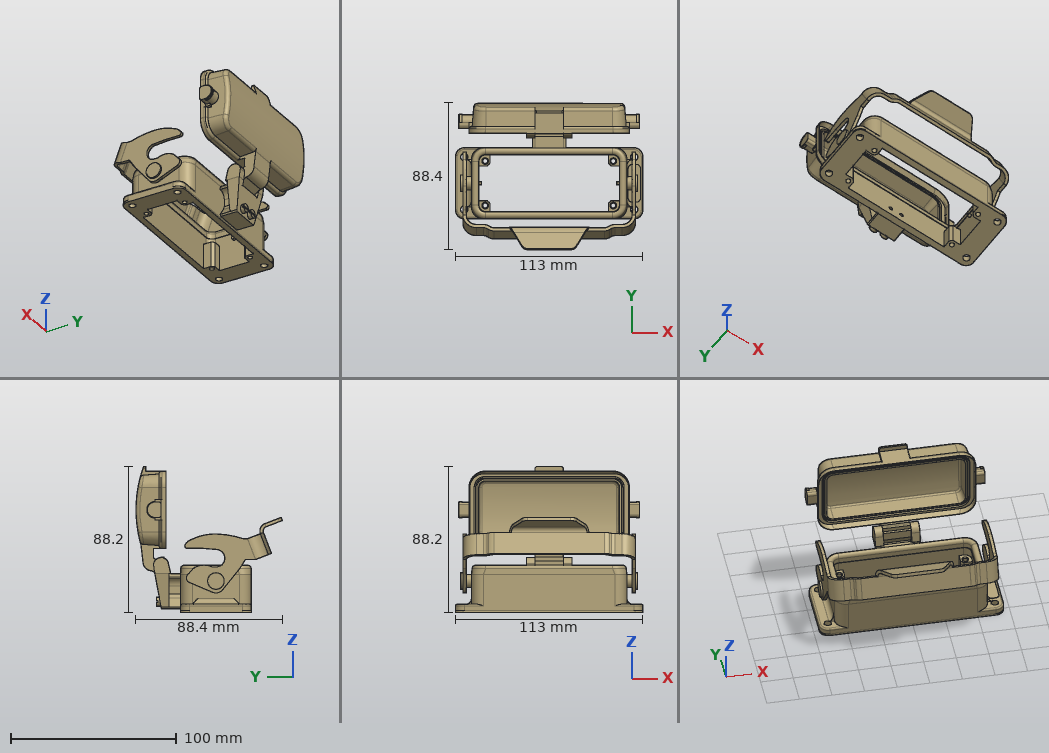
import cadquery as cq
import math

FLANGE_LENGTH = 113.0
FLANGE_FOOT_WIDTH = 43.0
FLANGE_FOOT_HEIGHT = 1.2
HOUSING_WIDTH = 42.8
FLANGE_THICKNESS = 5.1
FLANGE_CORNER_RADIUS = 5.5
FLANGE_EDGE_RADIUS = 1.0
HOUSING_LENGTH = 93.8
HOUSING_HEIGHT = 28.6
HOUSING_CORNER_RADIUS = 7.25
RIM_START_Z = 23.0
RIM_LENGTH = 93.0
RIM_WIDTH = 42.6
RIM_CORNER_RADIUS = 8.25
RIM_WALL = 4.2
CAVITY_LENGTH = RIM_LENGTH - 2 * RIM_WALL
CAVITY_WIDTH = RIM_WIDTH - 2 * RIM_WALL
CAVITY_CORNER_RADIUS = RIM_CORNER_RADIUS - RIM_WALL
CAVITY_RELIEF = 0.3
MOUNT_HOLE_DIAMETER = 4.3
MOUNT_HOLE_X = 51.2
MOUNT_HOLE_Y = 15.8

POST_TOP_Z = 17.0
POST_INNER_X = 35.6
POST_INNER_Y = 10.4
POST_CHAMFER = 1.7
POST_HOLE_X = 38.6
POST_HOLE_Y = 13.4
POST_HOLE_DIAMETER = 2.9
POST_COUNTERSINK_DIAMETER = 4.0
POST_COUNTERSINK_ANGLE = 90

RAMP_RADIUS = 3.4
RAMP_HALF_WIDTH = 14.3
LABEL_INNER_X = 47.6
LABEL_OUTER_X = 55.0
LABEL_WIDTH = 22.8
LABEL_DEPTH = 0.3
LABEL_CORNER_RADIUS = 2.5

PIVOT_Z = 19.07
PIVOT_SHAFT_DIAMETER = 8.0
PIVOT_HEAD_DIAMETER = 10.0
PIVOT_HEAD_X = 53.3
PIVOT_TAIL_DIAMETER = 2.0
PIVOT_TAIL_X = 40.7
LEVER_TILT = 21.0
LEVER_HALF_LENGTH = 52.05
LEVER_THICKNESS = 2.1
SLOT_RADIUS = 5.25
SLOT_Z = 32.8
BOW_START = 26.9
BOW_CORNER_RADIUS = 8.25
BOW_LOW = 3.5
BOW_HIGH = 17.05
JOG_START_X = 39.65
JOG_ANGLE = 31.0
JOG_INNER_RADIUS = 4.0
JOG_OUTER_RADIUS = 6.0
JOG_FLAT = 1.3
TAB_REACH = 50.5
TAB_TOP = 21.75
TAB_BEND_RADIUS = 4.8
TAB_ROOT_HALF_WIDTH = 24.0
TAB_BEND_HALF_WIDTH = 21.3
TAB_TIP_HALF_WIDTH = 15.3
TAB_CORNER_RADIUS = 4.0

COVER_MOUTH_Y = 30.05
COVER_Z = 62.0
COVER_LENGTH = 96.8
COVER_HEIGHT = 46.7
COVER_CORNER_RADIUS = 10.0
COVER_RIM_THICKNESS = 4.3
COVER_RIM_EDGE_RADIUS = 1.75
COVER_RIM_STEP_X = 2.0
COVER_RIM_STEP_Z = 1.8
COVER_TAPER = 4.0
COVER_BACK_Y = 48.26
COVER_BACK_RADIUS = 75.0
COVER_BACK_EDGE_RADIUS = 2.6
COVER_BACK_THICKNESS = 3.0
COVER_MOUTH_LAND = 0.3
SEAT_INSET_X = 0.6
SEAT_INSET_Z = 1.7
SEAT_DEPTH = 3.2
GROOVE_OUTER_INSET = 3.2
GROOVE_INNER_INSET = 4.75
GROOVE_STEP_INSET = 4.05
GROOVE_DEPTH = 1.5
GROOVE_STEP_DEPTH = 0.7
POCKET_INSET = 5.7
POCKET_TAPER = 4.0
POCKET_FLOOR_RADIUS = 1.2
COVER_PAD_HALF_WIDTH = 8.6
COVER_TAB_TOP_Z = 88.15
COVER_TAB_FRONT_Y = 42.3
COVER_TAB_CHAMFER = 1.0

COVER_PIN_Y = 36.7
COVER_PIN_RADIUS = 4.65
COVER_PIN_FRONT_Y = 33.0
COVER_PIN_CORNER_RADIUS = 1.6
COVER_PIN_END_X = 54.5
PIN_LIP_RADIUS = 5.0
PIN_LIP_LENGTH = 1.5
PIN_LIP_SETBACK = 0.4
PIN_BOSS_HALF_HEIGHT = 6.2

HINGE_Y = 33.1
HINGE_Z = 28.8
HINGE_RADIUS = 4.5
HINGE_PIN_DIAMETER = 4.0
BRACKET_HALF_WIDTH = 13.8
BRACKET_SHOULDER_Z = 23.5
BRACKET_BASE_Z = 2.3
KNUCKLE_SLOT_Z = 20.0
BRACKET_FRONT_Y = 28.2
BRACKET_BASE_BACK_Y = 32.9
BRACKET_SHOULDER_BACK_Y = 36.9
NECK_HALF_WIDTH = 10.2
BRACKET_BASE_HALF_WIDTH = 9.6
BRACKET_FOOT_Z = 3.4
SCREW_X = 4.0
SCREW_Z = 6.6
SCREW_HEAD_DIAMETER = 5.5
SCREW_HEAD_BACK_Y = 35.9
SCREW_SLOT_WIDTH = 0.9
SCREW_SLOT_DEPTH = 0.9
SCREW_HOLE_DIAMETER = 2.5

SIDES = (-1, 1)


def rounded_block(length, width, height, radius, base_z=0.0, taper=0.0):
    block = cq.Workplane("XY").workplane(offset=base_z).sketch().rect(length, width)
    return block.vertices().fillet(radius).finalize().extrude(height, taper=taper)


def y_cylinder(x, z, diameter, start_y, end_y):
    disc = cq.Workplane("XZ", origin=(x, start_y, z)).circle(diameter / 2)
    return disc.extrude(start_y - end_y)


def x_cylinder(y, z, diameter, start_x, end_x):
    disc = cq.Workplane("YZ", origin=(start_x, y, z)).circle(diameter / 2)
    return disc.extrude(end_x - start_x)


def x_prism(profile, start_x, end_x):
    """Extrude a closed YZ profile between two X positions."""
    return profile.extrude(end_x - start_x).translate((start_x, 0, 0))


def make_shell():
    flange = rounded_block(FLANGE_LENGTH, HOUSING_WIDTH, FLANGE_THICKNESS, FLANGE_CORNER_RADIUS)
    flange = flange.edges(">Z").fillet(FLANGE_EDGE_RADIUS)
    body = rounded_block(HOUSING_LENGTH, HOUSING_WIDTH, RIM_START_Z, HOUSING_CORNER_RADIUS)
    relief = rounded_block(
        CAVITY_LENGTH + 2 * CAVITY_RELIEF,
        CAVITY_WIDTH + 2 * CAVITY_RELIEF,
        RIM_START_Z,
        CAVITY_CORNER_RADIUS + CAVITY_RELIEF,
    )
    return flange.union(make_foot()).union(body).union(make_ramps()).cut(relief).union(make_rim())


def make_foot():
    """Bottom layer of the flange, whose long sides lean in to meet the rest of the flange."""
    layer = rounded_block(FLANGE_LENGTH, FLANGE_FOOT_WIDTH, FLANGE_FOOT_HEIGHT, FLANGE_CORNER_RADIUS)
    leaning = (
        cq.Workplane("YZ")
        .moveTo(-FLANGE_FOOT_WIDTH / 2, 0)
        .lineTo(FLANGE_FOOT_WIDTH / 2, 0)
        .lineTo(HOUSING_WIDTH / 2, FLANGE_FOOT_HEIGHT)
        .lineTo(-HOUSING_WIDTH / 2, FLANGE_FOOT_HEIGHT)
        .close()
        .extrude(FLANGE_LENGTH / 2, both=True)
    )
    return layer.intersect(leaning)


def make_rim():
    """Upper wall, drawn in slightly towards a fully rounded top edge."""
    bead_radius = RIM_WALL / 2
    bead_z = HOUSING_HEIGHT - bead_radius
    lower = cq.Sketch().rect(HOUSING_LENGTH, HOUSING_WIDTH).vertices().fillet(HOUSING_CORNER_RADIUS)
    upper = cq.Sketch().rect(RIM_LENGTH, RIM_WIDTH).vertices().fillet(RIM_CORNER_RADIUS)
    raised = upper.moved(cq.Location(cq.Vector(0, 0, bead_z - RIM_START_Z)))
    wall = cq.Workplane("XY").workplane(offset=RIM_START_Z).placeSketch(lower, raised).loft()
    opening = rounded_block(CAVITY_LENGTH, CAVITY_WIDTH, HOUSING_HEIGHT, CAVITY_CORNER_RADIUS)
    centre_line = rounded_block(
        RIM_LENGTH - RIM_WALL, RIM_WIDTH - RIM_WALL, 1, RIM_CORNER_RADIUS - bead_radius, bead_z
    )
    path = cq.Workplane(centre_line.faces("<Z").val().outerWire())
    section = cq.Workplane("YZ", origin=(0, (RIM_WALL - RIM_WIDTH) / 2, bead_z)).circle(bead_radius)
    return wall.cut(opening).union(section.sweep(path))


def make_ramps():
    wall_x = HOUSING_LENGTH / 2
    toe_x = wall_x + RAMP_RADIUS
    top_z = FLANGE_THICKNESS + RAMP_RADIUS
    bend = RAMP_RADIUS * (1 - math.sqrt(0.5))
    ramp = (
        cq.Workplane("XZ")
        .moveTo(wall_x, FLANGE_THICKNESS)
        .lineTo(toe_x, FLANGE_THICKNESS)
        .threePointArc((wall_x + bend, FLANGE_THICKNESS + bend), (wall_x, top_z))
        .close()
        .extrude(RAMP_HALF_WIDTH, both=True)
    )
    end_trim = (
        cq.Workplane("YZ", origin=(wall_x, 0, 0))
        .moveTo(-RAMP_HALF_WIDTH, FLANGE_THICKNESS)
        .lineTo(RAMP_HALF_WIDTH, FLANGE_THICKNESS)
        .lineTo(RAMP_HALF_WIDTH - RAMP_RADIUS, top_z)
        .lineTo(RAMP_RADIUS - RAMP_HALF_WIDTH, top_z)
        .close()
        .extrude(RAMP_RADIUS)
    )
    ramp = ramp.intersect(end_trim)
    return ramp.union(ramp.mirror("YZ"))


def make_posts():
    posts = cq.Workplane("XY")
    for side_x in SIDES:
        for side_y in SIDES:
            size_x = (CAVITY_LENGTH / 2 - POST_INNER_X) + CAVITY_RELIEF
            size_y = (CAVITY_WIDTH / 2 - POST_INNER_Y) + CAVITY_RELIEF
            post = (
                cq.Workplane("XY")
                .box(size_x, size_y, POST_TOP_Z, centered=False)
                .edges("|Z and <X and <Y")
                .chamfer(POST_CHAMFER)
                .translate((POST_INNER_X, POST_INNER_Y, 0))
                .faces(">Z")
                .workplane(origin=(POST_HOLE_X, POST_HOLE_Y, 0))
                .cskHole(POST_HOLE_DIAMETER, POST_COUNTERSINK_DIAMETER, POST_COUNTERSINK_ANGLE)
            )
            if side_x < 0:
                post = post.mirror("YZ")
            if side_y < 0:
                post = post.mirror("XZ")
            posts = posts.add(post)
    return posts.combine()


def make_housing():
    corners = [(sx * MOUNT_HOLE_X, sy * MOUNT_HOLE_Y) for sx in SIDES for sy in SIDES]
    mount_holes = cq.Workplane("XY").pushPoints(corners).circle(MOUNT_HOLE_DIAMETER / 2)
    mount_holes = mount_holes.extrude(FLANGE_THICKNESS)
    label = rounded_block(
        LABEL_OUTER_X - LABEL_INNER_X,
        LABEL_WIDTH,
        RAMP_RADIUS + LABEL_DEPTH,
        LABEL_CORNER_RADIUS,
        FLANGE_THICKNESS - LABEL_DEPTH,
    ).translate(((LABEL_INNER_X + LABEL_OUTER_X) / 2, 0, 0))
    housing = make_shell().cut(mount_holes).cut(label).union(make_posts())
    for side in SIDES:
        screw_hole = y_cylinder(
            side * SCREW_X, SCREW_Z, SCREW_HOLE_DIAMETER, CAVITY_WIDTH / 2, HOUSING_WIDTH / 2
        )
        housing = housing.cut(screw_hole)
    return housing


TILT_SIN = math.sin(math.radians(LEVER_TILT))
TILT_COS = math.cos(math.radians(LEVER_TILT))
LEVER_OUT = (0, -TILT_COS, TILT_SIN)
LEVER_WIDE = (0, TILT_SIN, TILT_COS)


def lever_point(out, wide):
    """Global (Y, Z) of a point given along the lever's outward and width directions."""
    return (-TILT_COS * out + TILT_SIN * wide, PIVOT_Z + TILT_SIN * out + TILT_COS * wide)


def lever_plane(wide):
    """Plane across the lever's width: local x is X, local y points outward, normal points down."""
    y, z = lever_point(0, wide)
    return cq.Plane((0, y, z), (1, 0, 0), tuple(-part for part in LEVER_WIDE))


JOG_SIN = math.sin(math.radians(JOG_ANGLE))
JOG_COS = math.cos(math.radians(JOG_ANGLE))
JOG_RUN = (JOG_INNER_RADIUS + JOG_OUTER_RADIUS) * JOG_SIN + JOG_FLAT * JOG_COS
JOG_RISE = (JOG_INNER_RADIUS + JOG_OUTER_RADIUS) * (1 - JOG_COS) + JOG_FLAT * JOG_SIN
BOW_SHOULDER = BOW_START + BOW_CORNER_RADIUS
BOW_FRONT = BOW_SHOULDER + JOG_RISE


def filled_bow(inset):
    """Area enclosed by the bow's outer surface moved inwards by inset, extruded over its width."""

    def arc_point(centre, radius, degrees):
        angle = math.radians(degrees)
        return (centre[0] + radius * math.cos(angle), centre[1] + radius * math.sin(angle))

    corner = (LEVER_HALF_LENGTH - BOW_CORNER_RADIUS, BOW_START)
    corner_radius = BOW_CORNER_RADIUS - inset
    first = (JOG_START_X, BOW_SHOULDER + JOG_INNER_RADIUS)
    first_radius = JOG_INNER_RADIUS + inset
    second = (JOG_START_X - JOG_RUN, BOW_FRONT - JOG_OUTER_RADIUS)
    second_radius = JOG_OUTER_RADIUS - inset
    half = (
        cq.Workplane(lever_plane(BOW_HIGH))
        .moveTo(0, BOW_START)
        .lineTo(LEVER_HALF_LENGTH - inset, BOW_START)
        .threePointArc(arc_point(corner, corner_radius, 45), arc_point(corner, corner_radius, 90))
        .lineTo(JOG_START_X, BOW_SHOULDER - inset)
        .threePointArc(
            arc_point(first, first_radius, 270 - JOG_ANGLE / 2),
            arc_point(first, first_radius, 270 - JOG_ANGLE),
        )
        .lineTo(*arc_point(second, second_radius, 90 - JOG_ANGLE))
        .threePointArc(
            arc_point(second, second_radius, 90 - JOG_ANGLE / 2), arc_point(second, second_radius, 90)
        )
        .lineTo(0, BOW_FRONT - inset)
        .close()
        .extrude(BOW_HIGH - BOW_LOW)
    )
    return half.union(half.mirror("YZ"))


def make_tab():
    """Thumb tab: rises from the bow, bends outward and narrows towards its tip."""
    y, z = lever_point(0, 0)
    back = BOW_FRONT - LEVER_THICKNESS
    inner_radius = TAB_BEND_RADIUS - LEVER_THICKNESS
    bend_out = back + TAB_BEND_RADIUS
    bend_wide = TAB_TOP - TAB_BEND_RADIUS
    diagonal = math.sqrt(0.5)
    strip = (
        cq.Workplane(cq.Plane((0, y, z), LEVER_OUT, (-1, 0, 0)))
        .moveTo(back, BOW_HIGH - LEVER_THICKNESS)
        .lineTo(back, bend_wide)
        .threePointArc(
            (bend_out - TAB_BEND_RADIUS * diagonal, bend_wide + TAB_BEND_RADIUS * diagonal),
            (bend_out, TAB_TOP),
        )
        .lineTo(TAB_REACH, TAB_TOP)
        .lineTo(TAB_REACH, TAB_TOP - LEVER_THICKNESS)
        .lineTo(bend_out, TAB_TOP - LEVER_THICKNESS)
        .threePointArc(
            (bend_out - inner_radius * diagonal, bend_wide + inner_radius * diagonal), (BOW_FRONT, bend_wide)
        )
        .lineTo(BOW_FRONT, BOW_HIGH - LEVER_THICKNESS)
        .close()
        .extrude(TAB_ROOT_HALF_WIDTH, both=True)
    )
    outline = (
        cq.Workplane(lever_plane(TAB_TOP))
        .moveTo(-TAB_ROOT_HALF_WIDTH, back)
        .lineTo(TAB_ROOT_HALF_WIDTH, back)
        .lineTo(TAB_BEND_HALF_WIDTH, bend_out)
        .lineTo(TAB_TIP_HALF_WIDTH, TAB_REACH)
        .lineTo(-TAB_TIP_HALF_WIDTH, TAB_REACH)
        .lineTo(-TAB_BEND_HALF_WIDTH, bend_out)
        .close()
        .extrude(TAB_TOP)
    )
    tip_y, tip_z = lever_point(TAB_REACH, TAB_TOP / 2)
    for side in SIDES:
        tip_edge = cq.selectors.NearestToPointSelector((side * TAB_TIP_HALF_WIDTH, tip_y, tip_z))
        outline = outline.edges(tip_edge).fillet(TAB_CORNER_RADIUS)
    return strip.intersect(outline)


def make_side_plate():
    profile = (
        cq.Workplane("YZ")
        .moveTo(*lever_point(BOW_START, BOW_LOW))
        .lineTo(*lever_point(BOW_START, BOW_HIGH))
        .lineTo(-16.2, 44.7)
        .threePointArc((-8.0, 46.7), (-1.5, 47.4))
        .threePointArc((7.6, 46.7), (14.2, 44.4))
        .threePointArc((17.1, 42.8), (18.7, 40.9))
        .threePointArc((18.6, 39.5), (17.6, 38.7))
        .lineTo(8.0, 38.7)
        .lineTo(0, SLOT_Z + SLOT_RADIUS)
        .threePointArc((-SLOT_RADIUS, SLOT_Z), (0, SLOT_Z - SLOT_RADIUS))
        .lineTo(2.3, SLOT_Z - SLOT_RADIUS)
        .threePointArc((9.0, 28.6), (13.8, 26.5))
        .lineTo(17.0, 23.0)
        .threePointArc((17.8, 20.6), (16.0, 18.2))
        .lineTo(2.6, 12.5)
        .threePointArc((-0.2, 11.9), (-3.4, 13.1))
        .lineTo(-14.3, 26.5)
        .lineTo(-17.8, lever_point(BOW_START, BOW_LOW)[1])
        .close()
    )
    return x_prism(profile, LEVER_HALF_LENGTH - LEVER_THICKNESS, LEVER_HALF_LENGTH)


def make_pivot():
    wall_x = CAVITY_LENGTH / 2 + CAVITY_RELIEF
    shaft = x_cylinder(0, PIVOT_Z, PIVOT_SHAFT_DIAMETER, wall_x, LEVER_HALF_LENGTH)
    head = x_cylinder(0, PIVOT_Z, PIVOT_HEAD_DIAMETER, LEVER_HALF_LENGTH, PIVOT_HEAD_X)
    tail = x_cylinder(0, PIVOT_Z, PIVOT_TAIL_DIAMETER, PIVOT_TAIL_X, wall_x)
    return shaft.union(head).union(tail)


def make_lever():
    side = make_side_plate().union(make_pivot())
    bow = filled_bow(0).cut(filled_bow(LEVER_THICKNESS))
    return bow.union(make_tab()).union(side).union(side.mirror("YZ"))


def cover_block(length, height, radius, start_y, end_y, taper=0.0):
    """Rounded rectangle facing Y, centred on the cover and extruded towards +Y."""
    plane = cq.Plane((0, start_y, COVER_Z), (-1, 0, 0), (0, 1, 0))
    face = cq.Workplane(plane).sketch().rect(length, height).vertices().fillet(radius).finalize()
    return face.extrude(end_y - start_y, taper=taper)


def cover_inset(inset, start_y, end_y, taper=0.0):
    return cover_block(
        COVER_LENGTH - 2 * inset,
        COVER_HEIGHT - 2 * inset,
        COVER_CORNER_RADIUS - inset,
        start_y,
        end_y,
        taper,
    )


def back_cylinder(radius):
    axis_y = COVER_BACK_Y - COVER_BACK_RADIUS
    return x_cylinder(axis_y, COVER_Z, 2 * radius, -COVER_LENGTH, COVER_LENGTH)


def make_cover_body():
    rim_back_y = COVER_MOUTH_Y + COVER_RIM_THICKNESS
    rim = cover_inset(0, COVER_MOUTH_Y, rim_back_y)
    rim = rim.faces(">Y").edges().fillet(COVER_RIM_EDGE_RADIUS)
    body = cover_block(
        COVER_LENGTH - 2 * COVER_RIM_STEP_X,
        COVER_HEIGHT - 2 * COVER_RIM_STEP_Z,
        COVER_CORNER_RADIUS - COVER_RIM_STEP_Z,
        rim_back_y,
        COVER_BACK_Y + 1,
        COVER_TAPER,
    )
    body = body.intersect(back_cylinder(COVER_BACK_RADIUS))
    body = body.faces(">Y").edges().fillet(COVER_BACK_EDGE_RADIUS)
    return rim.union(body)


def make_cover_seat():
    """Shallow recess behind the mouth, whose long walls slope more than its end walls."""
    plane = cq.Plane((0, COVER_MOUTH_Y, COVER_Z), (-1, 0, 0), (0, 1, 0))
    mouth_radius = COVER_CORNER_RADIUS - COVER_MOUTH_LAND
    seat_radius = COVER_CORNER_RADIUS - SEAT_INSET_Z
    mouth = cq.Sketch().rect(COVER_LENGTH - 2 * COVER_MOUTH_LAND, COVER_HEIGHT - 2 * COVER_MOUTH_LAND)
    seat = cq.Sketch().rect(COVER_LENGTH - 2 * SEAT_INSET_X, COVER_HEIGHT - 2 * SEAT_INSET_Z)
    mouth = mouth.vertices().fillet(mouth_radius)
    seat = seat.vertices().fillet(seat_radius).moved(cq.Location(cq.Vector(0, 0, SEAT_DEPTH)))
    return cq.Workplane(plane).placeSketch(mouth, seat).loft()


def make_cover_recess():
    seat_y = COVER_MOUTH_Y + SEAT_DEPTH
    groove_y = seat_y + GROOVE_DEPTH
    step_y = seat_y + GROOVE_STEP_DEPTH
    groove = cover_inset(GROOVE_OUTER_INSET, COVER_MOUTH_Y, groove_y)
    groove = groove.cut(cover_inset(GROOVE_STEP_INSET, step_y, groove_y))
    groove = groove.cut(cover_inset(GROOVE_INNER_INSET, COVER_MOUTH_Y, groove_y))
    pocket = cover_inset(POCKET_INSET, COVER_MOUTH_Y, COVER_BACK_Y, POCKET_TAPER)
    pocket = pocket.intersect(back_cylinder(COVER_BACK_RADIUS - COVER_BACK_THICKNESS))
    pocket = pocket.faces(">Y").edges().fillet(POCKET_FLOOR_RADIUS)
    return make_cover_seat().union(groove).union(pocket)


def make_cover_band():
    """Middle band of the cover: pads flush with the rim, pull tab on top, hinge arm below."""
    top_z = COVER_Z + COVER_HEIGHT / 2
    bottom_z = COVER_Z - COVER_HEIGHT / 2
    arm_root_y = 45.3
    arm_root_z = COVER_Z - math.sqrt(
        COVER_BACK_RADIUS**2 - (COVER_BACK_RADIUS - COVER_BACK_Y + arm_root_y) ** 2
    )
    arm_bend_y = 44.1
    arm_bend_z = 31.0
    arm_bottom_z = 25.1
    knuckle_front_y = 29.8
    knuckle_top_z = 33.5
    knuckle_bottom_z = 22.0
    underside_run = 1.5
    underside_z = 25.7
    rebate_y = 31.4
    rebate_z = 31.0
    arm_front_y = HINGE_Y + HINGE_RADIUS
    upper = (
        cq.Workplane("YZ")
        .moveTo(COVER_MOUTH_Y, bottom_z)
        .lineTo(COVER_MOUTH_Y, top_z)
        .lineTo(COVER_TAB_FRONT_Y, top_z)
        .lineTo(COVER_TAB_FRONT_Y, COVER_TAB_TOP_Z)
        .lineTo(COVER_BACK_Y, COVER_TAB_TOP_Z)
        .lineTo(COVER_BACK_Y, bottom_z)
        .close()
    )
    upper = x_prism(upper, -COVER_PAD_HALF_WIDTH, COVER_PAD_HALF_WIDTH)
    upper = upper.intersect(back_cylinder(COVER_BACK_RADIUS))
    upper = upper.faces(">Z").edges("|Y").chamfer(COVER_TAB_CHAMFER)
    arm = (
        cq.Workplane("YZ")
        .moveTo(arm_front_y, arm_root_z)
        .lineTo(arm_root_y, arm_root_z)
        .lineTo(arm_bend_y, arm_bend_z)
        .threePointArc((42.3, 26.7), (38.5, arm_bottom_z))
        .lineTo(HINGE_Y, knuckle_bottom_z)
        .lineTo(knuckle_front_y + underside_run, knuckle_bottom_z)
        .lineTo(knuckle_front_y, underside_z)
        .lineTo(knuckle_front_y, rebate_z)
        .lineTo(rebate_y, rebate_z)
        .lineTo(rebate_y, knuckle_top_z)
        .lineTo(32.8, knuckle_top_z)
        .lineTo(35.0, 32.8)
        .lineTo(36.2, 32.0)
        .lineTo(arm_front_y, 33.0)
        .close()
    )
    arm = x_prism(arm, -COVER_PAD_HALF_WIDTH, COVER_PAD_HALF_WIDTH)
    return upper.union(arm)


def half_disc(radius, start_x, end_x):
    """Rear half of a disc about the cover pin's axis."""
    profile = (
        cq.Workplane("YZ")
        .moveTo(COVER_PIN_Y, COVER_Z - radius)
        .threePointArc((COVER_PIN_Y + radius, COVER_Z), (COVER_PIN_Y, COVER_Z + radius))
        .close()
    )
    return x_prism(profile, start_x, end_x)


def pin_bar(half_height, front_y, start_x, end_x):
    """Rectangular bar from front_y back to the cover pin's axis."""
    bar = cq.Workplane("XY").box(end_x - start_x, COVER_PIN_Y - front_y, 2 * half_height)
    return bar.translate(((start_x + end_x) / 2, (COVER_PIN_Y + front_y) / 2, COVER_Z))


def make_cover_pin():
    root_x = COVER_LENGTH / 2 - POCKET_INSET + 1
    front = pin_bar(COVER_PIN_RADIUS, COVER_PIN_FRONT_Y, root_x, COVER_PIN_END_X)
    front = front.edges("|X and <Y").fillet(COVER_PIN_CORNER_RADIUS)
    rear = half_disc(COVER_PIN_RADIUS, root_x, COVER_PIN_END_X)
    lip_end_x = COVER_PIN_END_X - PIN_LIP_SETBACK
    lip = half_disc(PIN_LIP_RADIUS, lip_end_x - PIN_LIP_LENGTH, lip_end_x)
    boss_front_y = COVER_MOUTH_Y + COVER_RIM_THICKNESS - COVER_RIM_EDGE_RADIUS
    boss = pin_bar(PIN_BOSS_HALF_HEIGHT, boss_front_y, root_x, COVER_LENGTH / 2)
    return front.union(rear).union(lip).union(boss)


def make_cover():
    pin = make_cover_pin()
    solid = make_cover_body().union(make_cover_band()).union(pin).union(pin.mirror("YZ"))
    return solid.cut(make_cover_recess())


def make_bracket():
    ear_profile = (
        cq.Workplane("YZ")
        .moveTo(BRACKET_SHOULDER_BACK_Y, BRACKET_SHOULDER_Z)
        .lineTo(HINGE_Y + HINGE_RADIUS, HINGE_Z)
        .threePointArc((HINGE_Y, HINGE_Z + HINGE_RADIUS), (HINGE_Y - HINGE_RADIUS, HINGE_Z + 0.8))
        .lineTo(27.2, BRACKET_SHOULDER_Z)
        .close()
    )
    ear = x_prism(ear_profile, COVER_PAD_HALF_WIDTH, BRACKET_HALF_WIDTH)
    back_plate = (
        cq.Workplane("YZ")
        .moveTo(BRACKET_FRONT_Y, BRACKET_BASE_Z)
        .lineTo(BRACKET_BASE_BACK_Y, BRACKET_BASE_Z)
        .lineTo(BRACKET_SHOULDER_BACK_Y, BRACKET_SHOULDER_Z)
        .lineTo(BRACKET_FRONT_Y, BRACKET_SHOULDER_Z)
        .close()
        .extrude(BRACKET_HALF_WIDTH, both=True)
    )
    taper = (
        cq.Workplane("XZ")
        .moveTo(-BRACKET_BASE_HALF_WIDTH, BRACKET_BASE_Z)
        .lineTo(BRACKET_BASE_HALF_WIDTH, BRACKET_BASE_Z)
        .lineTo(NECK_HALF_WIDTH, BRACKET_FOOT_Z)
        .lineTo(BRACKET_HALF_WIDTH, BRACKET_SHOULDER_Z)
        .lineTo(-BRACKET_HALF_WIDTH, BRACKET_SHOULDER_Z)
        .lineTo(-NECK_HALF_WIDTH, BRACKET_FOOT_Z)
        .close()
        .extrude(-COVER_BACK_Y)
    )
    knuckle_slot = cq.Workplane("XY").box(
        2 * COVER_PAD_HALF_WIDTH, COVER_BACK_Y, COVER_Z, centered=(True, False, False)
    )
    knuckle_slot = knuckle_slot.translate((0, BRACKET_FRONT_Y, KNUCKLE_SLOT_Z))
    pin = x_cylinder(HINGE_Y, HINGE_Z, HINGE_PIN_DIAMETER, -BRACKET_HALF_WIDTH, BRACKET_HALF_WIDTH)
    bracket = back_plate.intersect(taper).cut(knuckle_slot).union(make_neck()).union(pin)
    bracket = bracket.union(ear).union(ear.mirror("YZ"))
    for side in SIDES:
        bracket = bracket.union(make_screw_head(side * SCREW_X))
    return bracket


def make_neck():
    """Web from the bracket to the housing: round-edged top, waist and a foot that widens downwards."""
    edge_radius = 1.6
    edge_z = BRACKET_SHOULDER_Z - edge_radius
    edge_x = NECK_HALF_WIDTH - edge_radius
    lip_z = 20.8
    waist_top_z = 16.0
    hollow_radius = lip_z - waist_top_z
    waist = NECK_HALF_WIDTH - hollow_radius
    waist_bottom_z = 11.2
    flare_x = 6.4
    flare_z = 8.8
    diagonal = math.sqrt(0.5)
    half = (
        cq.Workplane("XZ", origin=(0, HOUSING_WIDTH / 2, 0))
        .moveTo(0, BRACKET_BASE_Z)
        .lineTo(BRACKET_BASE_HALF_WIDTH, BRACKET_BASE_Z)
        .lineTo(NECK_HALF_WIDTH, BRACKET_FOOT_Z)
        .lineTo(flare_x, flare_z)
        .lineTo(waist, waist_bottom_z)
        .lineTo(waist, waist_top_z)
        .threePointArc(
            (NECK_HALF_WIDTH - hollow_radius * diagonal, waist_top_z + hollow_radius * diagonal),
            (NECK_HALF_WIDTH, lip_z),
        )
        .lineTo(NECK_HALF_WIDTH, edge_z)
        .threePointArc(
            (edge_x + edge_radius * diagonal, edge_z + edge_radius * diagonal), (edge_x, BRACKET_SHOULDER_Z)
        )
        .lineTo(0, BRACKET_SHOULDER_Z)
        .close()
        .extrude(HOUSING_WIDTH / 2 - BRACKET_FRONT_Y)
    )
    return half.union(half.mirror("YZ"))


def make_screw_head(x):
    head = y_cylinder(x, SCREW_Z, SCREW_HEAD_DIAMETER, BRACKET_BASE_BACK_Y, SCREW_HEAD_BACK_Y)
    slot = cq.Workplane("XY").box(SCREW_HEAD_DIAMETER, 2 * SCREW_SLOT_DEPTH, SCREW_SLOT_WIDTH)
    return head.cut(slot.translate((x, SCREW_HEAD_BACK_Y, SCREW_Z)))


result = make_housing().union(make_lever()).union(make_bracket()).union(make_cover()).clean()